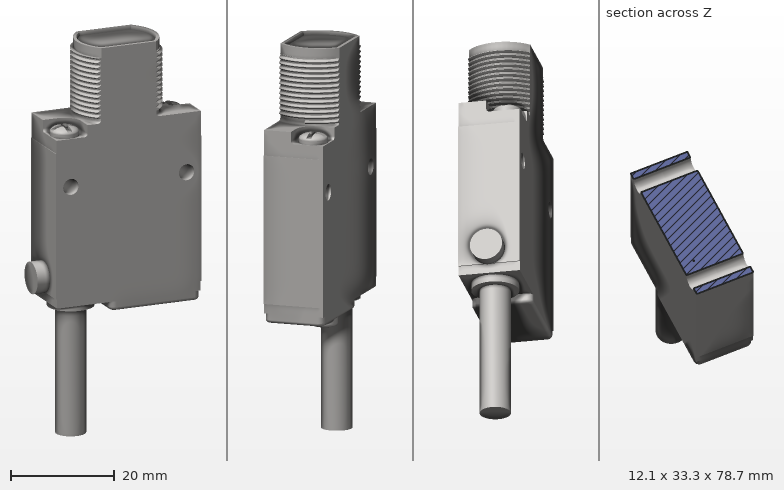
import cadquery as cq
import math

TOTAL_HEIGHT = 78.7
WIDTH = 12.1
HALF_WIDTH = WIDTH / 2

BODY_LENGTH = 30.7
LID_LENGTH = 30.5
BASE_LENGTH = 30.2
LID_TOP = 63.5
BODY_TOP = 58.5
BODY_BOTTOM = 29.1
BASE_BOTTOM = 27.25
MOUNT_HOLE_DIAMETER = 3.2
MOUNT_HOLE_OFFSET = 12.2
MOUNT_HOLE_HEIGHT = 51.5

NECK_RADIUS = 8.35
NECK_TIP_HEIGHT = 2.0
NECK_FOOT_FILLET = 0.55
THREAD_ROOT_RADIUS = 8.4
THREAD_RADIUS = 9.0
THREAD_PITCH = 1.0
THREAD_TURNS = 13
THREAD_START = 64.2
THREAD_TOP = TOTAL_HEIGHT - NECK_TIP_HEIGHT
THREAD_BASE_WIDTH = 0.95
THREAD_CREST_WIDTH = 0.1
THREAD_OVERLAP = 0.15
THREAD_START_ANGLE = 90.0
WINDOW_RIM = 0.6
WINDOW_DEPTH = 0.6
WINDOW_TAPER = 25.0

SCREW_X = 3.0
SCREW_Y = 12.2
SCREW_RADIUS = 2.8
SCREW_RIM_HEIGHT = 0.8
SCREW_DOME_HEIGHT = 1.2
SCREW_SLOT_WIDTH = 1.0
SCREW_SLOT_DEPTH = 0.8
POCKET_RADIUS = 3.55
POCKET_FLOOR = 61.2
POCKET_FLOOR_FILLET = 0.6

BUTTON_DIAMETER = 6.4
BUTTON_HEIGHT = 32.1
BUTTON_LENGTH = 2.6

COVER_LENGTH = 18.9
COVER_BOTTOM = 25.35
COVER_CORNER_RADIUS = 1.2
COVER_FILLET = 0.6
COVER_SCREW_X = -2.9
COVER_SCREW_Y = 5.7
COVER_SCREW_DIAMETER = 5.35
COVER_SCREW_BOTTOM = 23.6
COVER_SCREW_FILLET = 0.6

CABLE_Y = -9.6
CABLE_DIAMETER = 6.1
COLLAR_DIAMETER = 9.3
COLLAR_BOTTOM = 25.75


def block(length, bottom, top):
    """Full-width block centred on the Z axis."""
    solid = cq.Workplane("XY").box(WIDTH, length, top - bottom, centered=(True, True, False))
    return solid.translate((0, 0, bottom))


def cylinder(x, y, diameter, bottom, top):
    """Upright cylinder."""
    return cq.Workplane("XY", origin=(x, y, bottom)).circle(diameter / 2).extrude(top - bottom)


def make_housing():
    housing = block(BODY_LENGTH, BODY_BOTTOM, BODY_TOP)
    housing = housing.union(block(LID_LENGTH, BODY_TOP, LID_TOP))
    housing = housing.union(block(BASE_LENGTH, BASE_BOTTOM, BODY_BOTTOM))
    mount_holes = (
        cq.Workplane("YZ")
        .pushPoints([(side * MOUNT_HOLE_OFFSET, MOUNT_HOLE_HEIGHT) for side in (-1, 1)])
        .circle(MOUNT_HOLE_DIAMETER / 2)
        .extrude(HALF_WIDTH, both=True)
    )
    return housing.cut(mount_holes)


def make_thread():
    """Helical ridge of tapered section, sunk a little into the neck."""
    base_radius = THREAD_ROOT_RADIUS - THREAD_OVERLAP
    ridge_height = THREAD_RADIUS - base_radius
    path = cq.Wire.makeHelix(THREAD_PITCH, THREAD_TURNS * THREAD_PITCH, base_radius)
    ridge = (
        cq.Workplane("XZ", origin=(base_radius, 0, 0))
        .moveTo(0, -THREAD_BASE_WIDTH / 2)
        .lineTo(ridge_height, -THREAD_CREST_WIDTH / 2)
        .lineTo(ridge_height, THREAD_CREST_WIDTH / 2)
        .lineTo(0, THREAD_BASE_WIDTH / 2)
        .close()
        .sweep(cq.Workplane(obj=path), isFrenet=True)
    )
    return ridge.rotate((0, 0, 0), (0, 0, 1), THREAD_START_ANGLE).translate((0, 0, THREAD_START))


def make_neck():
    """Round threaded neck, cut flat to the width of the housing."""
    fillet_top = LID_TOP + NECK_FOOT_FILLET
    foot_radius = THREAD_ROOT_RADIUS + NECK_FOOT_FILLET
    arc_inset = NECK_FOOT_FILLET * (1 - math.sqrt(0.5))
    neck = (
        cq.Workplane("XZ")
        .moveTo(0, BODY_TOP)
        .lineTo(foot_radius, BODY_TOP)
        .lineTo(foot_radius, LID_TOP)
        .threePointArc(
            (THREAD_ROOT_RADIUS + arc_inset, LID_TOP + arc_inset),
            (THREAD_ROOT_RADIUS, fillet_top),
        )
        .lineTo(THREAD_ROOT_RADIUS, TOTAL_HEIGHT)
        .lineTo(0, TOTAL_HEIGHT)
        .close()
        .revolve(360, (0, 0, 0), (0, 1, 0))
    )
    neck = neck.union(make_thread())
    neck = neck.intersect(block(BODY_LENGTH, BODY_TOP, THREAD_TOP))
    tip = cylinder(0, 0, 2 * NECK_RADIUS, THREAD_TOP, TOTAL_HEIGHT)
    tip = tip.intersect(block(BODY_LENGTH, THREAD_TOP, TOTAL_HEIGHT))
    return neck.union(tip).cut(make_window())


def make_window():
    """Tapered recess following the outline of the neck."""
    half_x = HALF_WIDTH - WINDOW_RIM
    radius = NECK_RADIUS - WINDOW_RIM
    corner_y = math.sqrt(radius**2 - half_x**2)
    return (
        cq.Workplane("XY", origin=(0, 0, TOTAL_HEIGHT))
        .moveTo(half_x, -corner_y)
        .lineTo(half_x, corner_y)
        .threePointArc((0, radius), (-half_x, corner_y))
        .lineTo(-half_x, -corner_y)
        .threePointArc((0, -radius), (half_x, -corner_y))
        .close()
        .extrude(-WINDOW_DEPTH, taper=WINDOW_TAPER)
    )


def make_screw_pocket():
    """Corner pocket around the screw at (+X, -Y); it runs out past both sides of the lid."""
    overrun = POCKET_RADIUS + HALF_WIDTH
    return (
        cq.Workplane("XY", origin=(SCREW_X, -SCREW_Y, POCKET_FLOOR))
        .moveTo(-POCKET_RADIUS, -overrun)
        .lineTo(-POCKET_RADIUS, 0)
        .radiusArc((0, POCKET_RADIUS), POCKET_RADIUS)
        .lineTo(overrun, POCKET_RADIUS)
        .lineTo(overrun, -overrun)
        .close()
        .extrude(LID_TOP - POCKET_FLOOR)
        .faces("<Z")
        .edges()
        .fillet(POCKET_FLOOR_FILLET)
    )


def make_lid_screw():
    """Head with an elliptical dome and a cross slot, at (+X, -Y)."""
    head_top = SCREW_RIM_HEIGHT + SCREW_DOME_HEIGHT
    head = (
        cq.Workplane("XZ")
        .lineTo(SCREW_RADIUS, 0)
        .lineTo(SCREW_RADIUS, SCREW_RIM_HEIGHT)
        .ellipseArc(
            SCREW_RADIUS,
            SCREW_DOME_HEIGHT,
            angle1=0,
            angle2=90,
            startAtCurrent=True,
        )
        .close()
        .revolve(360, (0, 0, 0), (0, 1, 0))
    )
    slot = (
        cq.Workplane("XY")
        .box(2 * SCREW_RADIUS, SCREW_SLOT_WIDTH, 2 * SCREW_SLOT_DEPTH)
        .translate((0, 0, head_top))
    )
    head = head.cut(slot).cut(slot.rotate((0, 0, 0), (0, 0, 1), 90))
    return head.translate((SCREW_X, -SCREW_Y, POCKET_FLOOR))


def opposite(shape):
    """The shape turned half a turn about the Z axis."""
    return shape.rotate((0, 0, 0), (0, 0, 1), 180)


def make_button():
    return (
        cq.Workplane("XZ", origin=(0, -BODY_LENGTH / 2, BUTTON_HEIGHT))
        .circle(BUTTON_DIAMETER / 2)
        .extrude(BUTTON_LENGTH)
    )


def make_cover():
    """Rounded cover flush with the +Y end of the base, with its screw head below."""
    cover = (
        block(COVER_LENGTH, COVER_BOTTOM, BASE_BOTTOM)
        .translate((0, (BASE_LENGTH - COVER_LENGTH) / 2, 0))
        .edges("|Z")
        .fillet(COVER_CORNER_RADIUS)
        .faces("<Z")
        .edges()
        .fillet(COVER_FILLET)
    )
    screw = cylinder(COVER_SCREW_X, COVER_SCREW_Y, COVER_SCREW_DIAMETER, COVER_SCREW_BOTTOM, COVER_BOTTOM)
    return cover.union(screw.faces("<Z").edges().fillet(COVER_SCREW_FILLET))


def make_cable():
    cable = cylinder(0, CABLE_Y, CABLE_DIAMETER, 0, BASE_BOTTOM)
    return cable.union(cylinder(0, CABLE_Y, COLLAR_DIAMETER, COLLAR_BOTTOM, BASE_BOTTOM))


pocket = make_screw_pocket()
lid_screw = make_lid_screw()

result = make_housing().union(make_neck())
result = result.cut(pocket).cut(opposite(pocket))
result = result.union(lid_screw).union(opposite(lid_screw))
result = result.union(make_button()).union(make_cover()).union(make_cable())